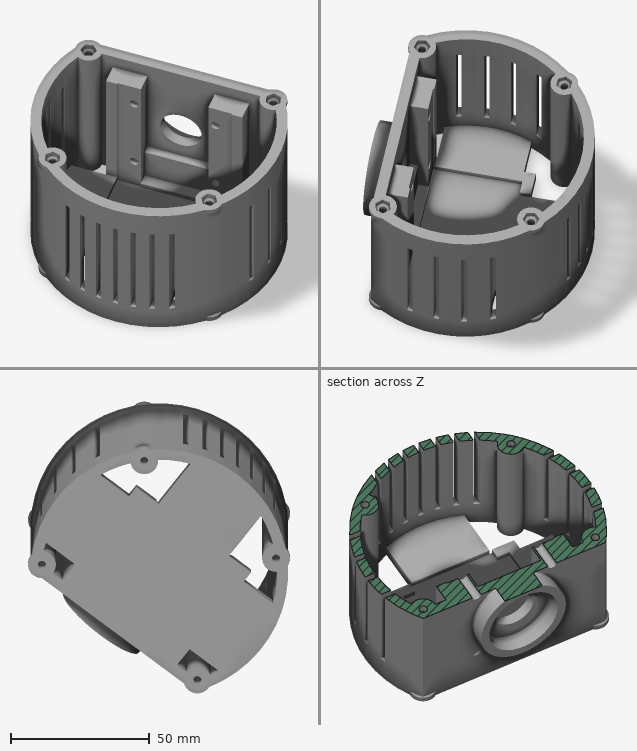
import cadquery as cq
import math

OUTER_RADIUS = 46.5
HEIGHT = 60.0
WALL = 4.0
FLAT_Y = 27.4
INNER_RADIUS = OUTER_RADIUS - WALL
INNER_FLAT_Y = FLAT_Y - WALL
MID_Z = HEIGHT / 2

COLUMN_RADIUS = 5.0
COLUMN_BACK = (35.4, INNER_FLAT_Y)
COLUMN_FRONT = (30.0, -30.0)
EAR_HEIGHT = 2.0
SCREW_DIAMETER = 2.9
NUT_DIAMETER = 6.0
NUT_DEPTH = 2.0
COLUMNS = [
    (-COLUMN_BACK[0], COLUMN_BACK[1], 15),
    (COLUMN_BACK[0], COLUMN_BACK[1], 45),
    (-COLUMN_FRONT[0], COLUMN_FRONT[1], 45),
    (COLUMN_FRONT[0], COLUMN_FRONT[1], 0),
]

TUBE_END_Y = 34.4
TUBE_DIAMETER = 34.8
TUBE_BORE = 28.2
SHAFT_HOLE = 15.8

PLATE_TOP = WALL
PLATE_HALF_WIDTH = 26.1
PLATE_FRONT_Y = -20.4
ARM_WIDTH = 32.0

RECESS_HALF_WIDTH = 21.95
RECESS_FLOOR = PLATE_TOP / 2
RECESS_FRONT_Y = -16.3
RECESS_BACK_Y = 16.65
RECESS_MOUTH_HALF_WIDTH = 17.0

PILLAR_FRONT_Y = 16.2
PILLAR_INNER_X = 12.9
PILLAR_TOP = 54.4
LEDGE_TOP = 16.6
LEDGE_FRONT_Y = 20.4
MOTOR_HOLE_DIAMETER = 3.4
MOTOR_HOLE_OFFSET = 15.5

SLOT_WIDTH = 2.0
SLOT_HEIGHT = 40
FRONT_SLOT_COUNT = 7
FRONT_SLOT_PITCH = 6.7
SIDE_SLOT_COUNT = 4
SIDE_SLOT_PITCH = 10.0
LEFT_SLOT_START_Y = -18.6
RIGHT_SLOT_START_Y = -19.1


def block(x_min, x_max, y_min, y_max, z_min, z_max):
    """Box given by its limits along each axis."""
    return (
        cq.Workplane("XY")
        .box(x_max - x_min, y_max - y_min, z_max - z_min, centered=False)
        .translate((x_min, y_min, z_min))
    )


def drum(radius, flat_y):
    """Full-height drum cut off flat at flat_y."""
    half_chord = math.sqrt(radius**2 - flat_y**2)
    return (
        cq.Workplane("XY")
        .moveTo(-half_chord, flat_y)
        .threePointArc((0, -radius), (half_chord, flat_y))
        .close()
        .extrude(HEIGHT)
    )


def upright(x, y, radius, z_min, z_max):
    """Cylinder parallel to Z."""
    return cq.Workplane("XY", origin=(x, y, z_min)).circle(radius).extrude(z_max - z_min)


def along_y(x, z, diameter, y_min, y_max):
    """Cylinder parallel to Y."""
    plane = cq.Workplane("XZ", origin=(x, y_max, z))
    return plane.circle(diameter / 2).extrude(y_max - y_min)


def cradle():
    """Plate, arms, pillars and ledge, with the motor recess removed."""
    body = block(-PLATE_HALF_WIDTH, PLATE_HALF_WIDTH, PLATE_FRONT_Y, FLAT_Y, 0, PLATE_TOP)
    half_arm = ARM_WIDTH / 2
    body = body.union(block(-OUTER_RADIUS, OUTER_RADIUS, -half_arm, half_arm, 0, PLATE_TOP))
    body = body.union(block(-half_arm, half_arm, -OUTER_RADIUS, 0, 0, PLATE_TOP))
    for x_min in (-PLATE_HALF_WIDTH, PILLAR_INNER_X):
        x_max = x_min + PLATE_HALF_WIDTH - PILLAR_INNER_X
        body = body.union(block(x_min, x_max, PILLAR_FRONT_Y, FLAT_Y, 0, PILLAR_TOP))
    body = body.union(
        block(-PILLAR_INNER_X, PILLAR_INNER_X, LEDGE_FRONT_Y, FLAT_Y, 0, LEDGE_TOP)
    )
    return body.cut(motor_recess())


def motor_recess():
    """Recess with a front mouth; it bites slightly into both pillars."""
    main = block(
        -RECESS_HALF_WIDTH, RECESS_HALF_WIDTH, RECESS_FRONT_Y, PILLAR_FRONT_Y, RECESS_FLOOR, HEIGHT
    )
    mouth = block(
        -RECESS_MOUTH_HALF_WIDTH, RECESS_MOUTH_HALF_WIDTH,
        PLATE_FRONT_Y, RECESS_FRONT_Y, RECESS_FLOOR, HEIGHT,
    )
    recess = main.union(mouth)
    for x_min in (-RECESS_HALF_WIDTH, PILLAR_INNER_X):
        x_max = x_min + RECESS_HALF_WIDTH - PILLAR_INNER_X
        recess = recess.union(
            block(x_min, x_max, RECESS_FRONT_Y, RECESS_BACK_Y, RECESS_FLOOR, HEIGHT)
        )
    return recess


def vent_slots():
    """Parallel slots: one row in the front, one row in each side."""
    z_min = MID_Z - SLOT_HEIGHT / 2
    z_max = MID_Z + SLOT_HEIGHT / 2
    half = SLOT_WIDTH / 2
    slots = cq.Workplane("XY")
    for i in range(FRONT_SLOT_COUNT):
        x = (i - (FRONT_SLOT_COUNT - 1) / 2) * FRONT_SLOT_PITCH
        slots = slots.add(block(x - half, x + half, -OUTER_RADIUS, PLATE_FRONT_Y, z_min, z_max))
    sides = [
        (-OUTER_RADIUS, -PLATE_HALF_WIDTH, LEFT_SLOT_START_Y),
        (PLATE_HALF_WIDTH, OUTER_RADIUS, RIGHT_SLOT_START_Y),
    ]
    for x_min, x_max, start_y in sides:
        for i in range(SIDE_SLOT_COUNT):
            y = start_y + i * SIDE_SLOT_PITCH
            slots = slots.add(block(x_min, x_max, y - half, y + half, z_min, z_max))
    return slots.combine()


envelope = drum(OUTER_RADIUS, FLAT_Y)
result = envelope.cut(drum(INNER_RADIUS, INNER_FLAT_Y))
result = result.union(cradle().intersect(envelope))
result = result.cut(vent_slots())

for x, y, _ in COLUMNS:
    column = upright(x, y, COLUMN_RADIUS, 0, HEIGHT).intersect(envelope)
    lower_ear = upright(x, y, COLUMN_RADIUS, 0, EAR_HEIGHT)
    upper_ear = upright(x, y, COLUMN_RADIUS, HEIGHT - EAR_HEIGHT, HEIGHT)
    result = result.union(column).union(lower_ear).union(upper_ear)
for x, y, nut_angle in COLUMNS:
    nut = (
        cq.Workplane("XY")
        .polygon(6, NUT_DIAMETER)
        .extrude(NUT_DEPTH)
        .rotate((0, 0, 0), (0, 0, 1), nut_angle)
        .translate((x, y, HEIGHT - NUT_DEPTH))
    )
    result = result.cut(nut).cut(upright(x, y, SCREW_DIAMETER / 2, 0, HEIGHT))

result = result.union(along_y(0, MID_Z, TUBE_DIAMETER, FLAT_Y, TUBE_END_Y))
result = result.cut(along_y(0, MID_Z, TUBE_BORE, FLAT_Y, TUBE_END_Y))
result = result.cut(along_y(0, MID_Z, SHAFT_HOLE, INNER_FLAT_Y, FLAT_Y))
for x in (-MOTOR_HOLE_OFFSET, MOTOR_HOLE_OFFSET):
    for dz in (-MOTOR_HOLE_OFFSET, MOTOR_HOLE_OFFSET):
        hole = along_y(x, MID_Z + dz, MOTOR_HOLE_DIAMETER, PILLAR_FRONT_Y, FLAT_Y)
        result = result.cut(hole)